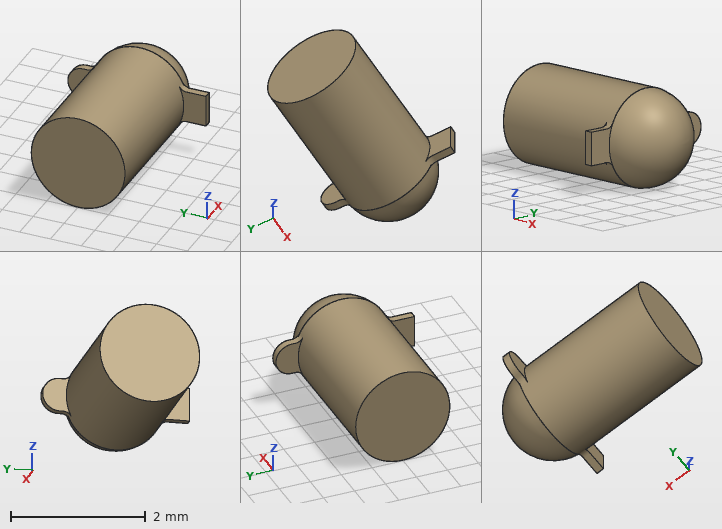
import cadquery as cq
import math

total_length = 2.97
body_length = 2.28
body_radius = 0.76

tab_thickness = 0.125
tab_half_width = 0.255
tab_reach = 1.12
tab_root_radius = 0.135
tab_root_overlap = 0.001


def make_body():
    """Plain round body."""
    return cq.Workplane("YZ").circle(body_radius).extrude(body_length)


def make_dome():
    """Cap of a sphere with the body's radius, standing on the end of the body."""
    sphere_center = total_length - body_radius
    base_offset = body_length - sphere_center
    base_radius = math.sqrt(body_radius**2 - base_offset**2)
    mid_angle = math.atan2(base_radius, base_offset) / 2
    mid_point = (
        sphere_center + body_radius * math.cos(mid_angle),
        body_radius * math.sin(mid_angle),
    )
    return (
        cq.Workplane("XY")
        .moveTo(body_length, 0)
        .lineTo(body_length, base_radius)
        .threePointArc(mid_point, (total_length, 0))
        .close()
        .revolve(360, (0, 0, 0), (1, 0, 0))
    )


def make_tabs():
    """Plate with a rounded +Y tab and a square -Y tab, running through the body."""
    root_radius = body_radius - tab_root_overlap
    fillet_z = tab_half_width + tab_root_radius
    fillet_y = math.sqrt((root_radius + tab_root_radius) ** 2 - fillet_z**2)
    touch_ratio = root_radius / (root_radius + tab_root_radius)
    touch_y = fillet_y * touch_ratio
    touch_z = fillet_z * touch_ratio

    mid_angle = (math.pi / 2 + math.atan2(fillet_z, fillet_y)) / 2
    mid_y = fillet_y - tab_root_radius * math.cos(mid_angle)
    mid_z = fillet_z - tab_root_radius * math.sin(mid_angle)

    round_start_y = tab_reach - tab_half_width
    outline = (
        cq.Workplane("YZ", origin=(body_length - tab_thickness, 0, 0))
        .moveTo(touch_y, touch_z)
        .threePointArc((mid_y, mid_z), (fillet_y, tab_half_width))
        .lineTo(round_start_y, tab_half_width)
        .threePointArc((tab_reach, 0), (round_start_y, -tab_half_width))
        .lineTo(fillet_y, -tab_half_width)
        .threePointArc((mid_y, -mid_z), (touch_y, -touch_z))
        .lineTo(-touch_y, -touch_z)
        .threePointArc((-mid_y, -mid_z), (-fillet_y, -tab_half_width))
        .lineTo(-tab_reach, -tab_half_width)
        .lineTo(-tab_reach, tab_half_width)
        .lineTo(-fillet_y, tab_half_width)
        .threePointArc((-mid_y, mid_z), (-touch_y, touch_z))
        .close()
    )
    return outline.extrude(tab_thickness)


result = make_body().union(make_tabs()).union(make_dome())